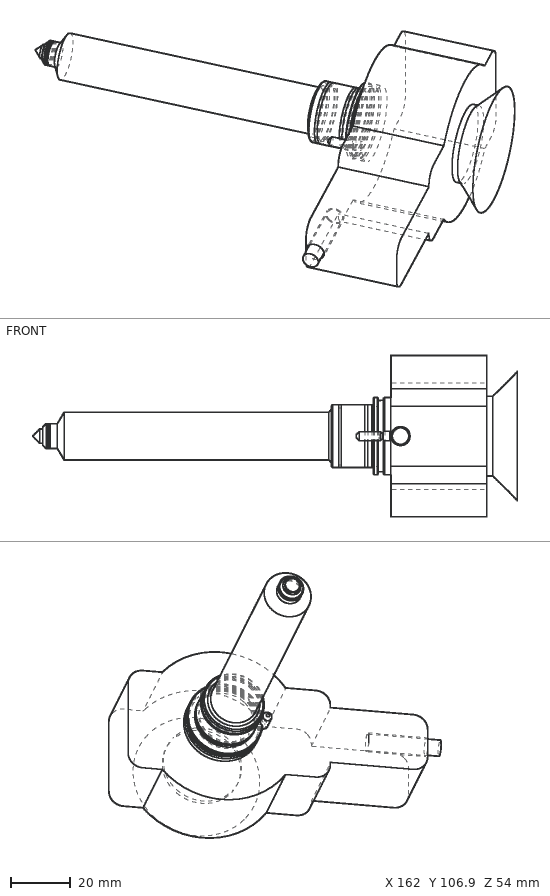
import cadquery as cq


housing_length = 32.0
disc_diameter = 54.0
corner_radius = 5.0
back_reach = 31.9
back_half_height = 17.8
shoulder_reach = 37.1
shoulder_half_height = 15.9
arm_reach = 70.3
arm_half_height = 10.0

cable_radius = 2.8
cable_hole_diameter = 6.3
cable_hole_radius = cable_hole_diameter / 2
cable_x = 3.2
cable_inner_end = 50.2
cable_outer_end = 75.0

cone_neck_diameter = 26.7
cone_neck_radius = cone_neck_diameter / 2
cone_neck_length = 2.0
cone_flare = 8.3
cone_end_x = housing_length + cone_neck_length + cone_flare

sleeve_radius = 10.5
sleeve_front_x = -20.0
sleeve_chamfer = 0.5
seat_radius = sleeve_radius - sleeve_chamfer
collar_radius = 13.0
collar_length = 2.6
collar_chamfer = 0.5
keyway_width = 3.2
keyway_length = 2.3
shoulder_radius = 12.0

flange_front_x = -5.8
flange_length = 1.6
flange_chamfer = 0.3
flange_rear_x = flange_front_x + flange_length

seal_width = 1.0
seal_depth = 1.0
seal_front_places = (-17.5, -8.7)

pin_radius = 1.54
pin_axis_radius = 13.5
pin_front_x = -11.5
pin_length = 8.6
pin_front_chamfer = 1.0
pin_rear_chamfer = 0.6

overall_length = 162.0
tip_x = cone_end_x - overall_length
probe_diameter = 16.0
probe_radius = probe_diameter / 2
flare_length = 0.8
flare_radius = 8.9
point_radius = 2.5
nose_radius = 4.2
nose_start = 3.4
nose_face_radius = 3.0
nose_groove_places = (4.7, 5.5)
nose_groove_width = 0.3
nose_groove_depth = 0.3
nose_end = 8.3
taper_length = 2.3


def revolved(points):
    """Solid of revolution about X from (x, radius) points that start and end on the axis."""
    return cq.Workplane("XY").polyline(points).close().revolve(360, (0, 0, 0), (1, 0, 0))


def x_tube(x, length, outer, inner):
    """Ring along X that starts at x."""
    return cq.Workplane("YZ", origin=(x, 0, 0)).circle(outer).circle(inner).extrude(length)


def x_block(y_from, y_to, half_height):
    """Block as long as the housing, centred on Z = 0."""
    return (
        cq.Workplane("YZ")
        .center((y_from + y_to) / 2, 0)
        .rect(abs(y_to - y_from), 2 * half_height)
        .extrude(housing_length)
    )


def cable_cylinder(radius, outer_end):
    """Cylinder along -Y from the blind end of the cable hole."""
    return (
        cq.Workplane("XZ", origin=(cable_x, -cable_inner_end, 0))
        .circle(radius)
        .extrude(outer_end - cable_inner_end)
    )


def make_housing():
    """Disc with a wide back block, a shoulder block and a narrow arm."""
    back = x_block(0, back_reach, back_half_height).edges("|X and >Y").fillet(corner_radius)
    shoulder = x_block(0, -shoulder_reach, shoulder_half_height).edges("|X and <Y").fillet(corner_radius)
    arm = x_block(0, -arm_reach, arm_half_height).edges("|X and <Y").fillet(corner_radius)
    disc = cq.Workplane("YZ").circle(disc_diameter / 2).extrude(housing_length)
    body = disc.union(back).union(shoulder).union(arm)
    return body.cut(cable_cylinder(cable_hole_radius, arm_reach))


def make_rear_cone():
    neck_end_x = housing_length + cone_neck_length
    return revolved([
        (housing_length, 0),
        (housing_length, cone_neck_radius),
        (neck_end_x, cone_neck_radius),
        (cone_end_x, cone_neck_radius + cone_flare),
        (cone_end_x, 0),
    ])


def make_pin():
    return (
        cq.Workplane("YZ", origin=(pin_front_x, -pin_axis_radius, 0))
        .circle(pin_radius)
        .extrude(pin_length)
        .faces("<X").chamfer(pin_front_chamfer)
        .faces(">X").chamfer(pin_rear_chamfer)
    )


def make_seals():
    inner = sleeve_radius - seal_depth
    return [x_tube(x, seal_width, sleeve_radius, inner) for x in seal_front_places]


def make_keyway():
    """Flat-bottomed slot in the collar, in line with the pin."""
    return (
        cq.Workplane("XY")
        .box(keyway_length, collar_radius, keyway_width, centered=(False, False, True))
        .translate((-collar_length, -shoulder_radius - collar_radius, 0))
    )


def make_sleeve(pin, seals):
    """Sleeve with seats for the seals and the pin."""
    body = revolved([
        (sleeve_front_x, 0),
        (sleeve_front_x, sleeve_radius - sleeve_chamfer),
        (sleeve_front_x + sleeve_chamfer, sleeve_radius),
        (flange_front_x - sleeve_chamfer, sleeve_radius),
        (flange_front_x, seat_radius),
        (flange_rear_x, seat_radius),
        (flange_rear_x, shoulder_radius),
        (-collar_length, shoulder_radius),
        (-collar_length, collar_radius - collar_chamfer),
        (-collar_length + collar_chamfer, collar_radius),
        (0, collar_radius),
        (0, 0),
    ])
    for seal in seals:
        body = body.cut(seal)
    return body.cut(make_keyway()).cut(pin)


def make_flange(pin):
    """Ring with chamfered rims and a notch for the pin."""
    ring = x_tube(flange_front_x, flange_length, collar_radius, seat_radius)
    ring = ring.edges(cq.selectors.RadiusNthSelector(-1)).chamfer(flange_chamfer)
    return ring.cut(pin)


def make_probe():
    nose_x = tip_x + nose_start
    rise = nose_radius - nose_face_radius
    nose_end_x = tip_x + nose_end
    body = revolved([
        (tip_x, 0),
        (tip_x + point_radius, point_radius),
        (nose_x, point_radius),
        (nose_x, nose_face_radius),
        (nose_x + rise, nose_radius),
        (nose_end_x, nose_radius),
        (nose_end_x + taper_length, probe_radius),
        (sleeve_front_x - flare_length, probe_radius),
        (sleeve_front_x, flare_radius),
        (sleeve_front_x, 0),
    ])
    for place in nose_groove_places:
        inner = nose_radius - nose_groove_depth
        body = body.cut(x_tube(tip_x + place, nose_groove_width, nose_radius, inner))
    return body


cable = cable_cylinder(cable_radius, cable_outer_end)
housing = make_housing()
rear_cone = make_rear_cone()
pin = make_pin()
seals = make_seals()
sleeve = make_sleeve(pin, seals)
flange = make_flange(pin)
probe = make_probe()

result = cq.Compound.makeCompound([
    housing.val(),
    cable.val(),
    rear_cone.val(),
    sleeve.val(),
    *[seal.val() for seal in seals],
    flange.val(),
    pin.val(),
    probe.val(),
])